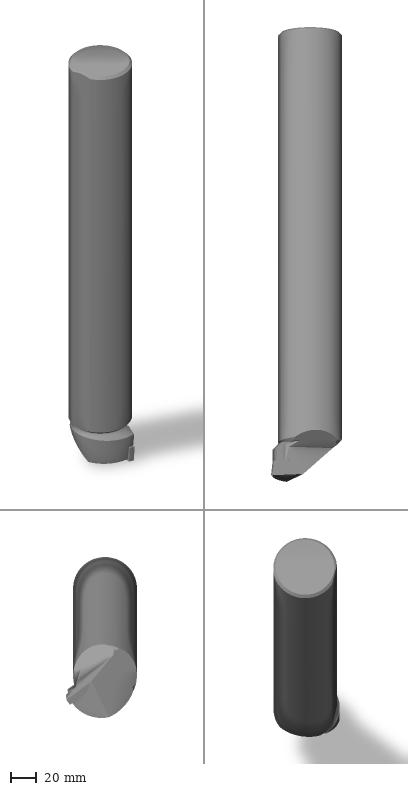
import cadquery as cq
import math

length = 357.0
cutter_size = 214.3

shank_radius = 25.0
flat_distance = 23.5
end_chamfer = 2.0
shank_bottom = 26.8

head_x = 2.5
left_radius = 26.5
right_radius = 28.0
step_y = 4.3
step_x = 23.5
head_bottom = 2.0
shoulder_x = 1.8
shoulder_top = 27.0
shoulder_top_radius = 23.5
heel_height = 34.5
heel_angle = 44.0

tip = (33.0, 1.0, 0.0)
rake_normal = cq.Vector(0.2, 1.0, -0.15)
runout_point = (0.0, shank_radius, 34.0)
runout_normal = cq.Vector(-0.14, -0.78, 1.0)

insert_low_edge = 21.0
insert_side_edge = 11.8
insert_thickness = 5.0
insert_corner_angle = 80.0
clearance_angle = 5.0


def half_space(point, normal):
    """Large block on the side of a plane that its normal points to."""
    x_direction = cq.Vector(0, 0, 1).cross(normal)
    plane = cq.Plane(origin=point, xDir=x_direction, normal=normal)
    return cq.Workplane(plane).rect(2 * cutter_size, 2 * cutter_size).extrude(cutter_size)


def make_shank():
    bar = (
        cq.Workplane("XY", origin=(0, 0, shank_bottom))
        .circle(shank_radius)
        .extrude(length - shank_bottom)
        .edges("%CIRCLE")
        .chamfer(end_chamfer)
    )
    flat_middle = (0, -flat_distance, length / 2)
    return bar.cut(half_space(flat_middle, cq.Vector(0, -1, 0)))


def make_head():
    height = shoulder_top - head_bottom
    front_y = -left_radius
    right_center_y = front_y + right_radius
    right_x = head_x + right_radius
    diagonal = right_radius * math.sqrt(0.5)
    outline = (
        cq.Workplane("XY", origin=(0, 0, head_bottom))
        .moveTo(head_x, front_y)
        .threePointArc((head_x + diagonal, right_center_y - diagonal), (right_x, right_center_y))
        .lineTo(right_x, step_y)
        .lineTo(step_x, step_y)
        .lineTo(head_x, left_radius)
        .threePointArc((head_x - left_radius, 0), (head_x, front_y))
        .close()
    )
    cone = cq.Solid.makeCone(
        shoulder_top_radius + height, shoulder_top_radius, height, cq.Vector(shoulder_x, 0, head_bottom)
    )
    return outline.extrude(height).intersect(cq.Workplane(cone))


def make_heel_cut():
    angle = math.radians(heel_angle)
    normal = cq.Vector(-math.sin(angle), 0, -math.cos(angle))
    return half_space((-shank_radius, 0, heel_height), normal)


def make_chip_space():
    """Space in front of the rake plane and below its sloping run-out."""
    return half_space(tip, rake_normal).intersect(half_space(runout_point, runout_normal * -1))


def make_insert():
    local_x = cq.Vector(0, 0, 1).cross(rake_normal)
    plane = cq.Plane(origin=tip, xDir=local_x, normal=rake_normal)
    low = math.radians(clearance_angle)
    high = math.radians(clearance_angle + insert_corner_angle)
    low_corner = (insert_low_edge * math.cos(low), insert_low_edge * math.sin(low))
    high_corner = (insert_side_edge * math.cos(high), insert_side_edge * math.sin(high))
    far_corner = (low_corner[0] + high_corner[0], low_corner[1] + high_corner[1])
    return (
        cq.Workplane(plane)
        .polyline([(0, 0), low_corner, far_corner, high_corner])
        .close()
        .extrude(-insert_thickness)
    )


insert = make_insert()
holder = make_shank().union(make_head()).cut(make_heel_cut()).cut(make_chip_space()).cut(insert)

result = cq.Compound.makeCompound([holder.val(), insert.val()])